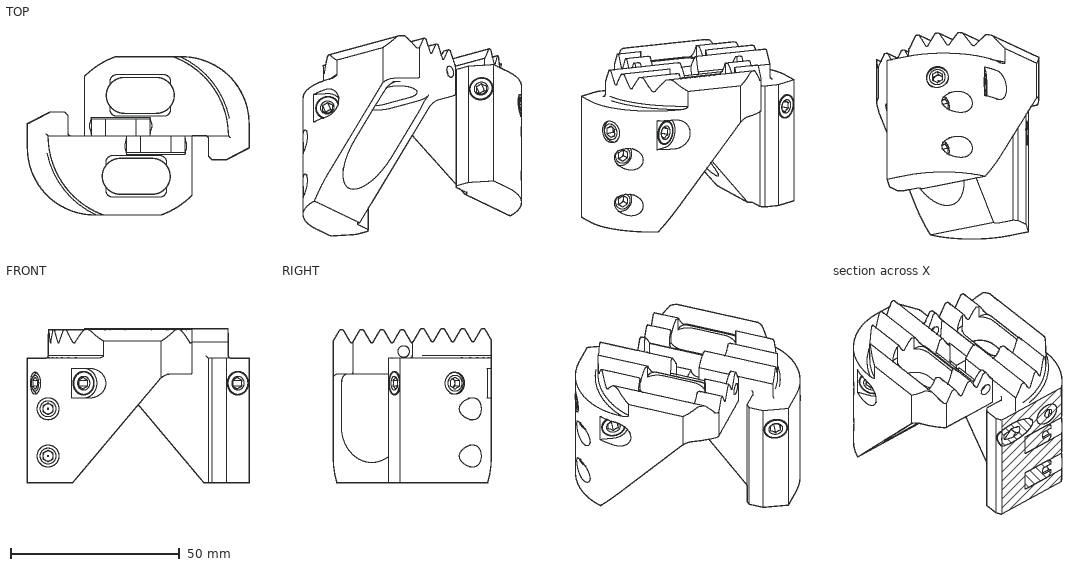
import cadquery as cq
import math

half_length = 32.935
half_depth = 23.5
shell_radius = 20.0
shell_height = 37.0

block_radius = 25.0
block_center_x = -1.75
block_end_x = 16.0
block_height = 45.45
rear_teeth_lift = 0.3
root_fillet = 0.8

hook_inner_x = -20.8
hook_tip_y = 7.1
hook_tip_chamfer = 1.05
hook_bevel_angle = 27.5
hook_bevel_start_y = 3.6

slope_foot_x = -19.5
slope_crest_z = 23.2
overhang_z = 32.3
overhang_blend = 4.5
overhang_edge_fillet = 0.5

tooth_pitch = 6.0
tooth_count = 4
tooth_half_angle = 30.0
tip_half_width = 0.53
tooth_rounding = 0.4

slot_x = -0.6
slot_y = -12.0
slot_length = 20.1
slot_width = 10.6
slot_recess_margin = 3.75
pocket_length = 18.0
pocket_width = 12.3
pocket_corner = 2.0
pocket_floor_z = 41.5

notch_start_x = -3.5
notch_end_x = 13.9
notch_depth_y = 5.0
notch_mouth_depth_y = 5.4
notch_floor_z = 36.0
trough_radius = 2.1
flare_start_z = 41.2
flare_radius = 20.0
pin_hole_diameter = 3.4
pin_hole_y = -2.55
pin_hole_z = 39.0

bolt_z = 29.6
bolt_diameter = 7.0
bolt_edge_chamfer = 0.2
bolt_hex = 3.0
bolt_countersink = 4.1
bolt_seat_width = 8.8
bolt_seat_edge_x = -19.8
set_diameter = 6.5
set_chamfer = 0.9
set_hex = 3.0
set_socket_depth = 3.0
bolt_socket_depth = 6.0
socket_cone_angle = 60.0
socket_cone_depth = 0.75
countersink_angle = 45.0
side_screw_x = -26.75
side_screw_heights = (8.0, 22.0)
side_screw_face_y = -12.9
side_screw_length = 10.0
lock_screw_recess = 0.1

shell_center_x = -half_length + shell_radius
shell_center_y = -half_depth + shell_radius
bevel = math.radians(hook_bevel_angle)
hook_bevel_end_x = -half_length + (hook_tip_y - hook_bevel_start_y) / math.tan(bevel)
tall = 100.0
overlap = 1.0


def rounded_shell_y(x):
    """Y of the round outer wall of the shell at a given X."""
    return shell_center_y - math.sqrt(shell_radius**2 - (x - shell_center_x) ** 2)


bolt_axis = cq.Vector(math.sin(bevel), -math.cos(bevel), 0)
side_axis = cq.Vector(0, 1, 0)
lock_axis = cq.Vector(math.cos(bevel), math.sin(bevel), 0)
bolt_start = cq.Vector(
    (-half_length + hook_bevel_end_x) / 2, (hook_bevel_start_y + hook_tip_y) / 2, bolt_z
)
seat_edge = cq.Vector(bolt_seat_edge_x, rounded_shell_y(bolt_seat_edge_x), bolt_z)
bolt_length = (seat_edge - bolt_start).dot(bolt_axis)
bolt_end = bolt_start + bolt_axis * bolt_length

shell_center = cq.Vector(shell_center_x, shell_center_y, bolt_z)
lock_start = shell_center - lock_axis * (shell_radius - lock_screw_recess)
lock_length = (bolt_start - lock_start).dot(lock_axis) - bolt_diameter / 2


def shell_outline(height):
    """Plan of the round shell and its hook, with a fillet where the hook meets the parting plane."""
    corner = shell_radius * math.sqrt(0.5)
    return (
        cq.Workplane("XY")
        .moveTo(block_center_x, -half_depth)
        .lineTo(shell_center_x, -half_depth)
        .threePointArc((shell_center_x - corner, shell_center_y - corner), (-half_length, shell_center_y))
        .lineTo(-half_length, hook_bevel_start_y)
        .lineTo(hook_bevel_end_x, hook_tip_y)
        .lineTo(hook_inner_x - hook_tip_chamfer, hook_tip_y)
        .lineTo(hook_inner_x, hook_tip_y - hook_tip_chamfer)
        .lineTo(hook_inner_x, root_fillet)
        .radiusArc((hook_inner_x + root_fillet, 0), -root_fillet)
        .lineTo(block_center_x, 0)
        .close()
        .extrude(height)
    )


def half_disc(height):
    return (
        cq.Workplane("XY")
        .moveTo(block_center_x - block_radius, 0)
        .threePointArc((block_center_x, -block_radius), (block_center_x + block_radius, 0))
        .close()
        .extrude(height)
    )


def block_outline(height):
    """Round-flanked block, cut flat at its end and along its outer side."""
    limits = (
        cq.Workplane("XY")
        .moveTo(block_end_x, half_depth)
        .lineTo(block_end_x, -half_depth)
        .lineTo(-half_length, -half_depth)
        .lineTo(-half_length, half_depth)
        .close()
        .extrude(height)
    )
    return half_disc(height).intersect(limits)


def blank(top_z):
    """Shell and block in one piece, with a fillet around the foot of the block."""
    plate = cq.Workplane("XY").rect(tall, tall).extrude(shell_height)
    stepped = plate.union(half_disc(top_z))
    foot = cq.selectors.BoxSelector(
        (-half_length, -half_length, shell_height - root_fillet),
        (half_length, half_length, shell_height + root_fillet),
    )
    stepped = stepped.edges(foot).fillet(root_fillet)
    return stepped.intersect(shell_outline(top_z).union(block_outline(top_z)))


def tooth_gap(y, top_z):
    """V groove with a round bottom, cut along X between two tooth tips."""
    slope = math.tan(math.radians(tooth_half_angle))
    gap_half = tooth_pitch / 2 - tip_half_width
    groove = (
        cq.Workplane("YZ")
        .moveTo(y, top_z - gap_half / slope)
        .lineTo(y + gap_half, top_z)
        .lineTo(y - gap_half, top_z)
        .close()
        .extrude(tall, both=True)
    )
    return groove.edges("<Z").fillet(tooth_rounding)


def cut_teeth(jaw, top_z):
    for gap in range(tooth_count + 1):
        jaw = jaw.cut(tooth_gap(-gap * tooth_pitch, top_z))
    return jaw.faces(">Z").edges("|X").fillet(tooth_rounding)


def underside():
    """Everything below the slope and the overhang, as a solid to cut away."""
    slope = slope_crest_z / -slope_foot_x
    slope_angle = math.atan(slope)
    bend_x = (overhang_z - slope_crest_z) / slope
    run = overhang_blend * math.tan(slope_angle / 2)
    blend_center = (bend_x + run, overhang_z - overhang_blend)
    half_angle = slope_angle / 2
    return (
        cq.Workplane("XZ")
        .moveTo(slope_foot_x, 0)
        .lineTo(bend_x - run * math.cos(slope_angle), overhang_z - run * math.sin(slope_angle))
        .threePointArc(
            (
                blend_center[0] - overhang_blend * math.sin(half_angle),
                blend_center[1] + overhang_blend * math.cos(half_angle),
            ),
            (bend_x + run, overhang_z),
        )
        .lineTo(block_end_x - overhang_edge_fillet, overhang_z)
        .radiusArc((block_end_x, overhang_z + overhang_edge_fillet), -overhang_edge_fillet)
        .lineTo(tall, overhang_z + overhang_edge_fillet)
        .lineTo(tall, 0)
        .close()
        .extrude(tall, both=True)
    )


def slot_and_pocket():
    slot = cq.Workplane("XY").center(slot_x, slot_y).slot2D(slot_length, slot_width).extrude(tall)
    pocket = (
        cq.Workplane("XY")
        .workplane(offset=pocket_floor_z)
        .center(slot_x, slot_y)
        .rect(pocket_length, pocket_width)
        .extrude(tall)
        .edges("|Z")
        .fillet(pocket_corner)
    )
    recess = (
        cq.Workplane("XY")
        .center(slot_x, slot_y)
        .slot2D(slot_length + 2 * slot_recess_margin, slot_width + 2 * slot_recess_margin)
        .extrude(overhang_z)
    )
    return slot.union(pocket).union(recess)


def notch(top_z):
    rise = top_z - flare_start_z
    flare = flare_radius - math.sqrt(flare_radius**2 - rise**2)
    opening = (
        cq.Workplane("XZ")
        .moveTo(notch_start_x, notch_floor_z)
        .lineTo(notch_end_x, notch_floor_z)
        .lineTo(notch_end_x, flare_start_z)
        .radiusArc((notch_end_x + flare, top_z), flare_radius)
        .lineTo(notch_start_x - flare, top_z)
        .radiusArc((notch_start_x, flare_start_z), flare_radius)
        .close()
        .extrude(tall)
    )
    lean = (notch_mouth_depth_y - notch_depth_y) / (flare_start_z - notch_floor_z)
    back_wall = (
        cq.Workplane("YZ")
        .moveTo(0, notch_floor_z)
        .lineTo(-notch_depth_y, notch_floor_z)
        .lineTo(-notch_depth_y - lean * (top_z - notch_floor_z), top_z)
        .lineTo(0, top_z)
        .close()
        .extrude(tall, both=True)
    )
    troughs = (
        cq.Workplane("XZ")
        .pushPoints(
            [
                (notch_start_x + trough_radius, notch_floor_z),
                (notch_end_x - trough_radius, notch_floor_z),
            ]
        )
        .circle(trough_radius)
        .extrude(notch_depth_y)
    )
    return opening.intersect(back_wall).union(troughs)


def pin_hole():
    return (
        cq.Workplane("YZ", origin=(notch_end_x - overlap, 0, 0))
        .center(pin_hole_y, pin_hole_z)
        .circle(pin_hole_diameter / 2)
        .extrude(tall)
    )


def axis_plane(start, axis):
    """Plane across a level axis, with its normal along the axis and its local Y pointing up."""
    sideways = cq.Vector(0, 0, 1).cross(axis)
    return cq.Plane(origin=start.toTuple(), xDir=sideways.toTuple(), normal=axis.toTuple())


def bore(start, axis, diameter, length):
    return cq.Workplane(axis_plane(start, axis)).circle(diameter / 2).extrude(length)


def bolt_seat():
    """U-shaped recess with a flat floor, open toward the outside of the shell."""
    round_end = bore(bolt_end, bolt_axis, bolt_seat_width, tall)
    toward_edge = cq.Workplane(axis_plane(bolt_end, bolt_axis)).center(-tall / 2, 0)
    return round_end.union(toward_edge.rect(tall, bolt_seat_width).extrude(tall))


def side_screw_start(z):
    return cq.Vector(side_screw_x, side_screw_face_y, z)


def jaw(top_z):
    body = blank(top_z).cut(underside())
    body = cut_teeth(body, top_z)
    body = body.cut(slot_and_pocket()).cut(notch(top_z)).cut(pin_hole())
    body = body.cut(bore(bolt_start, bolt_axis, bolt_diameter, bolt_length)).cut(bolt_seat())
    lock_mouth = lock_start - lock_axis * overlap
    body = body.cut(bore(lock_mouth, lock_axis, set_diameter, lock_length + 2 * overlap))
    for z in side_screw_heights:
        start = side_screw_start(z)
        body = body.cut(bore(start, side_axis, set_diameter, side_screw_length))
        body = body.cut(bore(start, -side_axis, set_diameter, tall))
    return body


def hex_socket(start, axis, width, depth):
    """Hex hole with a conical bottom, corners up and down."""
    corner_diameter = width / math.cos(math.pi / 6)
    plane = axis_plane(start, axis)
    hex_hole = cq.Workplane(plane).transformed(rotate=(0, 0, 30)).polygon(6, corner_diameter).extrude(depth)
    cone = cq.Workplane(plane).workplane(offset=depth).circle(width / 2).extrude(
        socket_cone_depth, taper=socket_cone_angle
    )
    return hex_hole.union(cone)


def socket_countersink(start, axis):
    """Cone that narrows to the flats of the bolt socket."""
    depth = (bolt_countersink - bolt_hex) / 2 / math.tan(math.radians(countersink_angle))
    rim = cq.Workplane(axis_plane(start, axis)).circle(bolt_countersink / 2)
    return rim.extrude(depth, taper=countersink_angle)


def set_screw(start, axis, length):
    """Headless screw with a chamfered outer end."""
    screw = bore(start, axis, set_diameter, length)
    near_end = cq.selectors.NearestToPointSelector(start.toTuple())
    screw = screw.faces(near_end).chamfer(set_chamfer)
    return screw.cut(hex_socket(start, axis, set_hex, set_socket_depth))


def cross_bolt():
    """Bolt that runs from the hook bevel to the seat, with a socket in both ends."""
    bolt = bore(bolt_start, bolt_axis, bolt_diameter, bolt_length).edges().chamfer(bolt_edge_chamfer)
    for start, axis in ((bolt_start, bolt_axis), (bolt_end, -bolt_axis)):
        bolt = bolt.cut(hex_socket(start, axis, bolt_hex, bolt_socket_depth))
        bolt = bolt.cut(socket_countersink(start, axis))
    return bolt


bodies = []
for turn, lift in ((0, 0), (180, rear_teeth_lift)):
    side_screws = [set_screw(side_screw_start(z), side_axis, side_screw_length) for z in side_screw_heights]
    lock_screw = set_screw(lock_start, lock_axis, lock_length)
    for body in (jaw(block_height + lift), cross_bolt(), lock_screw, *side_screws):
        bodies.append(body.rotate((0, 0, 0), (0, 0, 1), turn).val())

result = cq.Compound.makeCompound(bodies)